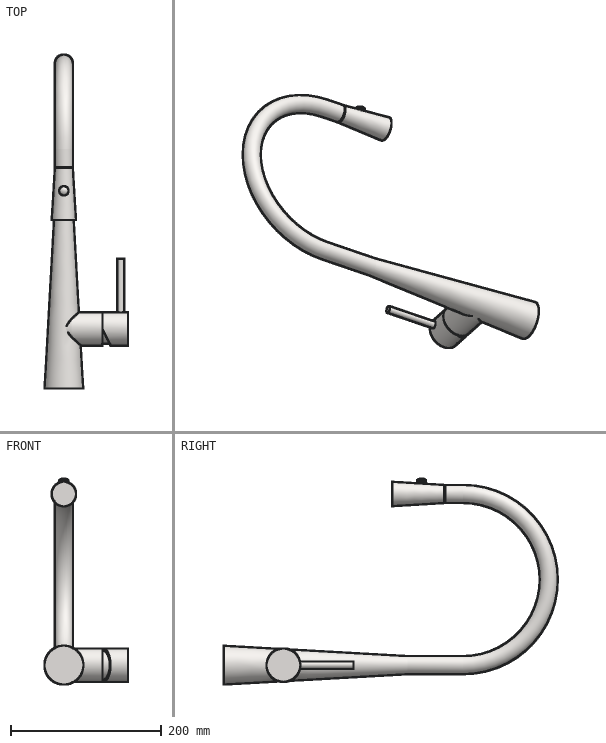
import cadquery as cq
import math

overall_width = 112.0
overall_length = 445.5
overall_height = 275.0

base_radius = 52.0 / 2
tube_radius = 24.5 / 2
taper_length = 245.5
bend_radius = 114.0
bend_start = overall_length - bend_radius - tube_radius
head_axis_height = 2 * bend_radius

neck_end = 295.5
head_gap = 1.5
head_back = neck_end - head_gap
head_front = 224.5
head_front_radius = 16.5

button_position = 263.5
button_radius = 6.2
button_stem_radius = 2.2
button_top = overall_height - base_radius - head_axis_height
button_rim_bottom = 17.0
button_rim_thickness = 1.0

socket_position = 79.7
socket_radius = 45.0 / 2
socket_root_radius = 42.5 / 2
socket_root = 2.2
socket_full_radius_start = 10.5
socket_end = 51.0

core_radius = 20.0

handle_end = overall_width - base_radius
relief_depth = 11.0
lever_radius = 5.0
lever_position = 75.5
lever_end = 173.3


def cylinder(radius, start, end):
    """Round bar between two points."""
    direction = cq.Vector(*end) - cq.Vector(*start)
    return cq.Workplane(cq.Solid.makeCylinder(radius, direction.Length, cq.Vector(*start), direction))


def cone(start_radius, end_radius, start, end):
    """Tapered round bar between two points."""
    direction = cq.Vector(*end) - cq.Vector(*start)
    return cq.Workplane(
        cq.Solid.makeCone(start_radius, end_radius, direction.Length, cq.Vector(*start), direction)
    )


def make_relief_wedge():
    """Prism below the socket axis, between the socket end and the handle's slanted face."""
    return (
        cq.Workplane("XY")
        .moveTo(socket_end, socket_position)
        .lineTo(socket_end + relief_depth, socket_position - socket_radius)
        .lineTo(socket_end, socket_position - socket_radius)
        .close()
        .extrude(socket_radius, both=True)
    )


def make_gooseneck():
    """Tube from the taper, around the half circle, to its free end."""
    path = (
        cq.Workplane("YZ")
        .moveTo(taper_length, 0)
        .lineTo(bend_start, 0)
        .threePointArc((bend_start + bend_radius, bend_radius), (bend_start, head_axis_height))
        .lineTo(neck_end, head_axis_height)
    )
    return (
        cq.Workplane("XZ", origin=(0, taper_length, 0))
        .circle(tube_radius)
        .sweep(path)
    )


def make_socket():
    root = cone(
        socket_root_radius, socket_radius,
        (socket_root, socket_position, 0), (socket_full_radius_start, socket_position, 0),
    )
    barrel = cylinder(
        socket_radius,
        (socket_full_radius_start, socket_position, 0), (socket_end, socket_position, 0),
    )
    return root.union(barrel)


def make_core():
    core = cylinder(
        core_radius,
        (socket_end, socket_position, 0), (socket_end + relief_depth, socket_position, 0),
    )
    return core.intersect(make_relief_wedge())


def make_body():
    base = cone(base_radius, tube_radius, (0, 0, 0), (0, taper_length, 0))
    return base.union(make_gooseneck()).union(make_socket()).union(make_core())


def make_button():
    """Mushroom button: a stem from the head axis, a flat rim and a domed crown."""
    rim_top = button_rim_bottom + button_rim_thickness
    crown_height = button_top - rim_top
    crown_radius = (button_radius**2 + crown_height**2) / (2 * crown_height)
    half_angle = math.asin(button_radius / crown_radius) / 2
    crown_middle = (
        crown_radius * math.sin(half_angle),
        button_top - crown_radius * (1 - math.cos(half_angle)),
    )
    profile = (
        cq.Workplane("XZ")
        .lineTo(button_stem_radius, 0)
        .lineTo(button_stem_radius, button_rim_bottom)
        .lineTo(button_radius, button_rim_bottom)
        .lineTo(button_radius, rim_top)
        .threePointArc(crown_middle, (0, button_top))
        .close()
    )
    return profile.revolve(360, (0, 0), (0, 1)).translate((0, button_position, head_axis_height))


def make_spray_head():
    shell = cone(
        tube_radius, head_front_radius,
        (0, head_back, head_axis_height), (0, head_front, head_axis_height),
    )
    return shell.union(make_button())


def make_handle():
    cap = cylinder(
        socket_radius, (socket_end, socket_position, 0), (handle_end, socket_position, 0)
    ).cut(make_relief_wedge())
    lever = cylinder(
        lever_radius, (lever_position, socket_position, 0), (lever_position, lever_end, 0)
    )
    return cap.union(lever)


body = make_body()
spray_head = make_spray_head()
handle = make_handle()

result = cq.Compound.makeCompound([body.val(), spray_head.val(), handle.val()])